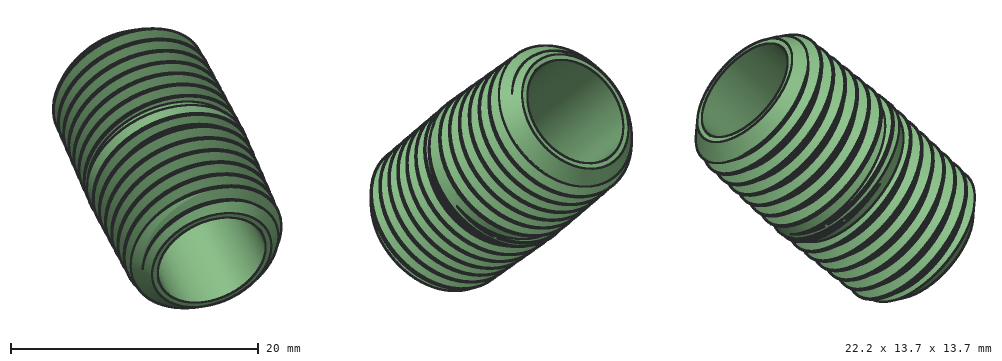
import cadquery as cq
import math

length = 22.23
half_length = length / 2
collar_radius = 6.858
bore_radius = 4.6
end_radius = 5.1

pitch = 1.412
thread_depth = 0.85
crest_width = 0.22
flank_angle = math.radians(30)
taper = 1 / 32
thread_start = 0.75
runout_turns = 0.5
runout_sink = 0.18
collar_slope = 0.45
overlap = 0.05


def crest_radius(x):
    return collar_radius - taper * x


def root_radius(x):
    return crest_radius(x) - thread_depth


def revolve_about_x(points):
    """Solid of revolution about X from (x, radius) points."""
    return cq.Workplane("XY").polyline(points).close().revolve(360, (0, 0, 0), (1, 0, 0))


def make_core():
    """Right half of the body: collar cone followed by the thread's root cone."""
    collar_half = thread_depth / (collar_slope - taper)
    return revolve_about_x(
        [
            (0, 0),
            (0, collar_radius),
            (collar_half, root_radius(collar_half)),
            (half_length, root_radius(half_length)),
            (half_length, 0),
        ]
    )


def make_chamfer_envelope():
    """Half cylinder with the 45 degree chamfer at its outer end."""
    chamfer = collar_radius - end_radius
    return revolve_about_x(
        [
            (0, 0),
            (0, collar_radius),
            (half_length - chamfer, collar_radius),
            (half_length, end_radius),
            (half_length, 0),
        ]
    )


def sweep_profile(x, radius, slope, turns):
    """Thread profile swept along a helix about Z, from z = x and the +X side.

    The crest starts at the given radius and changes it by slope per unit of length.
    """
    angle = math.atan(slope)
    slant_pitch = pitch / math.cos(angle)
    half_crest = crest_width / 2
    base_depth = thread_depth + overlap
    half_base = half_crest + base_depth * math.tan(flank_angle)
    profile = [(-half_base, base_depth), (-half_crest, 0), (half_crest, 0), (half_base, base_depth)]

    corners = []
    for offset, depth in profile:
        start_radius = radius - depth - taper * offset
        helix = cq.Wire.makeHelix(
            slant_pitch, turns * slant_pitch, start_radius, angle=math.degrees(angle)
        )
        corners.append(helix.translate(cq.Vector(0, 0, x + offset)))

    faces = []
    for i, corner in enumerate(corners):
        strip = cq.Face.makeRuledSurface(corner, corners[(i + 1) % len(corners)])
        faces.extend(strip.Faces())
    for position in (0, 1):
        ends = [corner.positionAt(position) for corner in corners]
        faces.append(cq.Face.makeFromWires(cq.Wire.makePolygon(ends, close=True)))
    return cq.Workplane(cq.Solid.makeSolid(cq.Shell.makeShell(faces)))


def lay_along_x(shape, roll):
    """Roll a shape about its Z axis, then turn that axis to +X."""
    return shape.rotate((0, 0, 0), (0, 0, 1), roll).rotate((0, 0, 0), (0, 1, 0), 90)


def make_ridge():
    """Full-height ridge, starting on the +Y side next to the collar."""
    turns = math.ceil((half_length - thread_start) / pitch) + 1
    ridge = sweep_profile(thread_start, crest_radius(thread_start), -taper, turns)
    return lay_along_x(ridge, 90)


def make_runout():
    """Last half turn of the ridge, sinking into the collar from +Y to -Y."""
    runout_length = runout_turns * pitch
    sunk_radius = crest_radius(thread_start) - runout_sink
    runout = sweep_profile(
        thread_start - runout_length, sunk_radius, runout_sink / runout_length, runout_turns
    )
    return lay_along_x(runout, 90 - 360 * runout_turns)


threaded_half = make_core().union(make_ridge()).union(make_runout())
half = threaded_half.intersect(make_chamfer_envelope())
other_half = half.rotate((0, 0, 0), (0, 0, 1), 180)
bore = cq.Workplane("YZ").circle(bore_radius).extrude(half_length, both=True)
result = half.union(other_half).cut(bore)